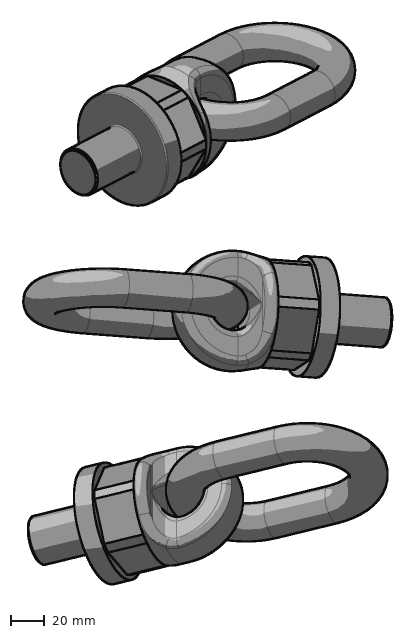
import cadquery as cq
import math


stud_diameter = 30
stud_length = 40
stud_end_chamfer = 1
stud_root_radius = 0.75
flange_diameter = 72
flange_thickness = 12.5
flange_edge_radius = 0.75
hex_across_flats = 60
hex_height = 25.5
foot_diameter = 66
hex_top = flange_thickness + hex_height

ball_radius = 36
ball_center = hex_top + ball_radius / 2
plate_thickness = 24
foot_height = 7
foot_top = hex_top + foot_height
flare_radius = 11.5
eye_edge_radius = 5
eye_hole_diameter = 27
eye_hole_rise = 0.1
eye_hole_center = foot_top + eye_hole_rise + eye_hole_diameter / 2

wire_diameter = 23
link_width = 96
link_straight = 40
link_top = 184.92
bend_radius = (link_width - wire_diameter) / 2
link_center = link_top - link_width / 2 - link_straight / 2

pick_slack = 0.1


def cross_section(y, x=0):
    """Workplane square to the Y axis, facing +Y."""
    return cq.Workplane(cq.Plane(origin=(x, y, 0), xDir=(1, 0, 0), normal=(0, 1, 0)))


def y_cylinder(diameter, start, length):
    """Cylinder on the Y axis from Y = start towards +Y."""
    return cross_section(start).circle(diameter / 2).extrude(length)


def make_hexagon():
    """Hexagon with two flats square to Z and its corners turned round."""
    outline = cross_section(flange_thickness).polygon(6, hex_across_flats, circumscribed=True)
    prism = outline.extrude(hex_height)
    prism = prism.rotate((0, 0, 0), (0, 1, 0), 30)
    return prism.intersect(y_cylinder(foot_diameter, flange_thickness, hex_height))


def make_base():
    """Stud, flange and hexagon in one piece."""
    flange = y_cylinder(flange_diameter, 0, flange_thickness)
    flange = flange.faces("<Y").edges().fillet(flange_edge_radius)
    stud = y_cylinder(stud_diameter, -stud_length, stud_length)
    stud = stud.faces("<Y").chamfer(stud_end_chamfer)
    base = flange.union(stud).union(make_hexagon())
    near_seat = cq.selectors.BoxSelector(
        (-flange_diameter, -pick_slack, -flange_diameter),
        (flange_diameter, pick_slack, flange_diameter),
    )
    stud_root = base.edges(near_seat).edges(cq.selectors.RadiusNthSelector(0))
    return stud_root.fillet(stud_root_radius)


def make_ball_and_cone():
    """Ball and the cone tangent to it, revolved about the Y axis."""
    foot_radius = foot_diameter / 2
    drop = ball_center - hex_top
    tangent_angle = math.atan2(drop, foot_radius) - math.acos(ball_radius / math.hypot(foot_radius, drop))
    tangent_x = ball_radius * math.cos(tangent_angle)
    tangent_y = ball_center - ball_radius * math.sin(tangent_angle)
    arc_middle = ball_radius * math.sqrt(0.5)
    return (
        cq.Workplane("XY")
        .moveTo(0, hex_top)
        .lineTo(foot_radius, hex_top)
        .lineTo(tangent_x, tangent_y)
        .threePointArc((arc_middle, ball_center + arc_middle), (0, ball_center + ball_radius))
        .close()
        .revolve(360, (0, 0, 0), (0, 1, 0))
    )


def make_flared_plate():
    """Plate outline in XY that flares through quarter arcs into the foot, extruded along Z past the ball."""
    side = plate_thickness / 2
    flare_start = foot_top + flare_radius
    flare_end = side + flare_radius
    arc_inset = flare_radius * (1 - math.sqrt(0.5))
    reach = ball_radius + 1
    plate_top = ball_center + reach
    return (
        cq.Workplane("XY")
        .moveTo(-reach, hex_top)
        .lineTo(reach, hex_top)
        .lineTo(reach, foot_top)
        .lineTo(flare_end, foot_top)
        .threePointArc((side + arc_inset, foot_top + arc_inset), (side, flare_start))
        .lineTo(side, plate_top)
        .lineTo(-side, plate_top)
        .lineTo(-side, flare_start)
        .threePointArc((-side - arc_inset, foot_top + arc_inset), (-flare_end, foot_top))
        .lineTo(-reach, foot_top)
        .close()
        .extrude(reach, both=True)
    )


def is_side_edge(edge):
    """True for a curved edge above the foot's underside that lies wholly on one side of the YZ plane."""
    box = edge.BoundingBox()
    on_one_side = box.xmin * box.xmax > 0
    return on_one_side and edge.geomType() != "LINE" and box.ymin > hex_top + pick_slack


def is_hole_edge(edge):
    """True for a side edge that belongs to the rim of the eye hole."""
    box = edge.BoundingBox()
    reach = eye_hole_diameter / 2 + pick_slack
    inside_z = box.zmin > -reach and box.zmax < reach
    inside_y = box.ymin > foot_top and box.ymax < eye_hole_center + reach
    return is_side_edge(edge) and inside_z and inside_y


def make_eye():
    """Eye with rounded outer edges and a rounded hole, on a flat round foot."""
    blank = make_ball_and_cone().intersect(make_flared_plate())
    rounded = blank.edges().filter(is_side_edge).fillet(eye_edge_radius)
    hole = (
        cq.Workplane("YZ")
        .center(eye_hole_center, 0)
        .circle(eye_hole_diameter / 2)
        .extrude(foot_diameter, both=True)
    )
    pierced = blank.cut(hole).edges().filter(is_hole_edge).fillet(eye_edge_radius)
    return rounded.intersect(pierced)


def make_link():
    """Wire swept along two straights and two half circles."""
    upper_end = link_center + link_straight / 2
    lower_end = link_center - link_straight / 2
    path = (
        cq.Workplane("XY")
        .moveTo(bend_radius, lower_end)
        .lineTo(bend_radius, upper_end)
        .threePointArc((0, upper_end + bend_radius), (-bend_radius, upper_end))
        .lineTo(-bend_radius, lower_end)
        .threePointArc((0, lower_end - bend_radius), (bend_radius, lower_end))
        .close()
    )
    return cross_section(lower_end, bend_radius).circle(wire_diameter / 2).sweep(path)


base = make_base()
link = make_link()
eye = make_eye().cut(link)

result = cq.Compound.makeCompound([base.solids().val(), eye.solids().val(), link.solids().val()])